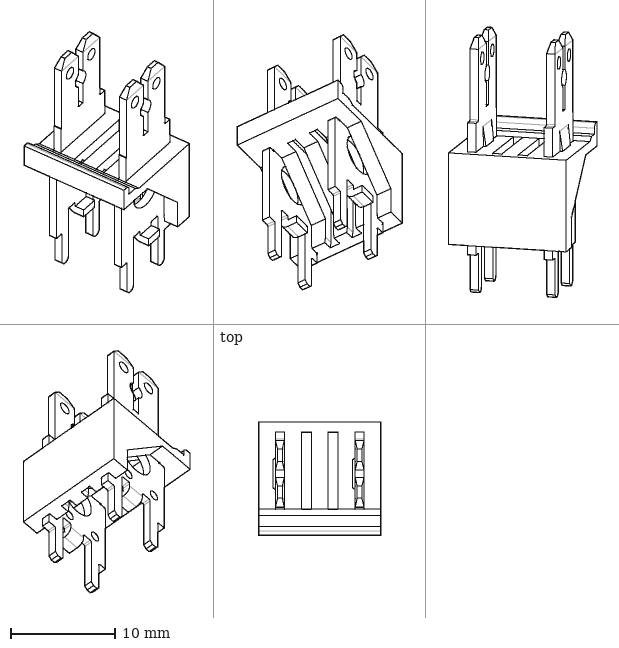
import cadquery as cq
import math


pitch = 2.55
inner_slots = (-0.5 * pitch, 0.5 * pitch)
terminal_slots = (-1.5 * pitch, 1.5 * pitch)

width = 11.75
depth = 10.9
housing_bottom = 5.08
housing_top = 14.1
plate_thickness = 1.0
plate_bottom = housing_top - plate_thickness
wall_thickness = 1.95
wall_front = depth - wall_thickness
gusset = 5.0
ramp_start = 2.52
ramp_end = 1.9
ledge_top = 14.48
lip_top = 15.5
lip_thickness = 0.88
lip_round = 0.45

slot_width = 0.92
slot_back = 9.95
slot_back_low = 9.88
lead_in_height = 0.65
lead_in_side = 0.088

thickness = 0.85
terminal_y = 5.92
terminal_back = slot_back
neck_front = 2.68
body_front = 1.9
body_bottom = 3.95
body_top = 13.02
shoulder_top = 16.95
corner_round = 0.18
inside_round = 0.15

terminal_top = 25.0
tabs_half_width = 3.18
slit_width = 0.72
slit_bottom = 17.82
slit_eye_diameter = 1.7
slit_eye_z = 20.98
tab_hole_diameter = 1.2
tab_hole_z = 22.88
tip_height = 0.95
tip_inset = 0.82
tip_thickness = 0.45

leg_offset = pitch
leg_width = 1.1
leg_chamfer = 0.32
fork_top = 6.38

opening_diameter = 4.0
opening_z = 11.02
dome_diameter = 1.02
dome_height = 0.18
dome_z = 7.5
dome_positions_y = (3.4, 7.02)
foot_width = 1.82
foot_bottom = 5.05
foot_length = 1.85
bend_radius = 0.82
lance_top = 16.1
lance_top_width = 3.05
lance_bottom_width = 2.72
lance_depth = 0.25


def box(x, y, z):
    """Box from three (low, high) ranges."""
    size = (x[1] - x[0], y[1] - y[0], z[1] - z[0])
    return cq.Workplane("XY").box(*size, centered=False).translate((x[0], y[0], z[0]))


def side_plate(points, x_low, length):
    """Outline of (y, z) points extruded along +X from x_low."""
    return cq.Workplane("YZ", origin=(x_low, 0, 0)).polyline(points).close().extrude(length)


def round_along_x(body, corners, radius):
    """Round the X-directed edges that pass through the given (y, z) corners."""
    for y, z in corners:
        body = body.edges("|X").edges(cq.selectors.NearestToPointSelector((0, y, z))).fillet(radius)
    return body


def make_slot(x, slot_size):
    """Cutter for one through slot with a widened bottom mouth and a drafted back."""
    half = slot_size / 2
    mouth = half + lead_in_side
    outline = [
        (-mouth, housing_bottom),
        (mouth, housing_bottom),
        (half, housing_bottom + lead_in_height),
        (half, housing_top),
        (-half, housing_top),
        (-half, housing_bottom + lead_in_height),
    ]
    slot = cq.Workplane("XZ").polyline(outline).close().extrude(-depth)
    drafted_side = [
        (ramp_start, housing_bottom),
        (slot_back_low, housing_bottom),
        (slot_back, housing_top),
        (ramp_start, housing_top),
    ]
    slot = slot.intersect(side_plate(drafted_side, -mouth, 2 * mouth))
    return slot.translate((x, 0, 0))


def make_housing():
    outline = [
        (depth, housing_bottom),
        (depth, housing_top),
        (ramp_start, housing_top),
        (ramp_end, ledge_top),
        (lip_thickness, ledge_top),
        (lip_thickness, lip_top),
        (0, lip_top),
        (0, plate_bottom),
        (wall_front - gusset, plate_bottom),
        (wall_front, plate_bottom - gusset),
        (wall_front, housing_bottom),
    ]
    housing = side_plate(outline, -width / 2, width)
    housing = round_along_x(housing, [(lip_thickness, lip_top)], lip_round)
    for x in inner_slots:
        housing = housing.cut(make_slot(x, slot_width))
    for x in terminal_slots:
        housing = housing.cut(make_slot(x, thickness))
    return housing


def make_blade():
    """Terminal plate without tabs or legs, centred on X = 0."""
    outline = [
        (terminal_back, body_bottom),
        (terminal_back, shoulder_top),
        (neck_front, shoulder_top),
        (neck_front, body_top),
        (body_front, body_top),
        (body_front, body_bottom),
    ]
    blade = side_plate(outline, -thickness / 2, thickness)
    return round_along_x(blade, [(body_front, body_top)], corner_round)


def make_tab(side):
    """One upper tab with its tapered tip; side is +1 or -1 along Y."""
    tab_width = tabs_half_width - slit_width / 2
    centre_y = terminal_y + side * (tabs_half_width + slit_width / 2) / 2
    tip_base = terminal_top - tip_height
    tab = box(
        (-thickness / 2, thickness / 2),
        (centre_y - tab_width / 2, centre_y + tab_width / 2),
        (slit_bottom, tip_base),
    )
    tip = (
        cq.Workplane("XY", origin=(0, centre_y, tip_base))
        .rect(thickness, tab_width)
        .workplane(offset=tip_height)
        .rect(tip_thickness, tab_width - 2 * tip_inset)
        .loft(ruled=True)
    )
    return tab.union(tip).cut(make_bore(tab_hole_diameter, centre_y, tab_hole_z))


def make_bore(diameter, y, z):
    """Cylinder through the terminal's thickness."""
    return cq.Workplane("YZ", origin=(-thickness / 2, y, z)).circle(diameter / 2).extrude(thickness)


def make_leg(side):
    """One solder leg with a chamfered end."""
    centre_y = terminal_y + side * leg_offset
    leg = box(
        (-thickness / 2, thickness / 2),
        (centre_y - leg_width / 2, centre_y + leg_width / 2),
        (0, fork_top),
    )
    return leg.faces("<Z").edges("|X").chamfer(leg_chamfer)


def make_foot():
    """Tongue bent toward +X between the legs, rounded on the outside of the bend."""
    x_low = -thickness / 2
    foot = box(
        (x_low, x_low + foot_length),
        (terminal_y - foot_width / 2, terminal_y + foot_width / 2),
        (foot_bottom, foot_bottom + thickness),
    )
    foot = foot.edges("|Y and <X and <Z").fillet(bend_radius)
    tongue = box(
        (x_low, thickness / 2),
        (terminal_y - foot_width / 2, terminal_y + foot_width / 2),
        (foot_bottom + thickness, fork_top),
    )
    return tongue.union(foot)


def make_dome(y):
    """Shallow spherical bump on the -X face."""
    face_x = -thickness / 2
    radius = dome_diameter / 2
    bulge = math.hypot(dome_height, radius)
    sphere_radius = bulge**2 / (2 * dome_height)
    dome = (
        cq.Workplane("XY")
        .moveTo(face_x, 0)
        .lineTo(face_x, radius)
        .radiusArc((face_x - dome_height, 0), -sphere_radius)
        .close()
        .revolve(360, (face_x, 0), (face_x - 0.25, 0))
    )
    return dome.translate((0, y, dome_z))


def make_lance():
    """Latch on the -X face, sloping out toward the housing top and narrowing downward."""
    face_x = -thickness / 2
    wedge = (
        cq.Workplane("XZ", origin=(0, terminal_y + lance_top_width / 2, 0))
        .polyline([(face_x, lance_top), (face_x, housing_top), (face_x - lance_depth, housing_top)])
        .close()
        .extrude(lance_top_width)
    )
    outline = [
        (terminal_y - lance_top_width / 2, lance_top),
        (terminal_y + lance_top_width / 2, lance_top),
        (terminal_y + lance_bottom_width / 2, housing_top),
        (terminal_y - lance_bottom_width / 2, housing_top),
    ]
    return wedge.intersect(side_plate(outline, face_x - lance_depth, lance_depth))


def make_terminal():
    fork_half = leg_offset - leg_width / 2
    terminal = make_blade()
    terminal = terminal.cut(
        box(
            (-thickness / 2, thickness / 2),
            (terminal_y - fork_half, terminal_y + fork_half),
            (body_bottom, fork_top),
        )
    )
    terminal = terminal.union(
        box(
            (-thickness / 2, thickness / 2),
            (terminal_y - tabs_half_width, terminal_y + tabs_half_width),
            (shoulder_top, slit_bottom),
        )
    )
    for side in (-1, 1):
        terminal = terminal.union(make_tab(side)).union(make_leg(side))
    terminal = terminal.cut(make_bore(slit_eye_diameter, terminal_y, slit_eye_z))
    terminal = terminal.cut(make_bore(opening_diameter, terminal_y, opening_z))
    terminal = terminal.union(make_foot())

    foot_half = foot_width / 2
    inside_corners = [(terminal_y + tabs_half_width, shoulder_top)]
    for side in (-1, 1):
        inside_corners.append((terminal_y + side * (leg_offset + leg_width / 2), body_bottom))
        inside_corners.append((terminal_y + side * fork_half, fork_top))
        inside_corners.append((terminal_y + side * foot_half, fork_top))
    terminal = round_along_x(terminal, inside_corners, inside_round)

    for y in dome_positions_y:
        terminal = terminal.union(make_dome(y))
    return terminal.union(make_lance())


result = make_housing()
terminal = make_terminal()
for slot_x in terminal_slots:
    result = result.union(terminal.translate((slot_x, 0, 0)))